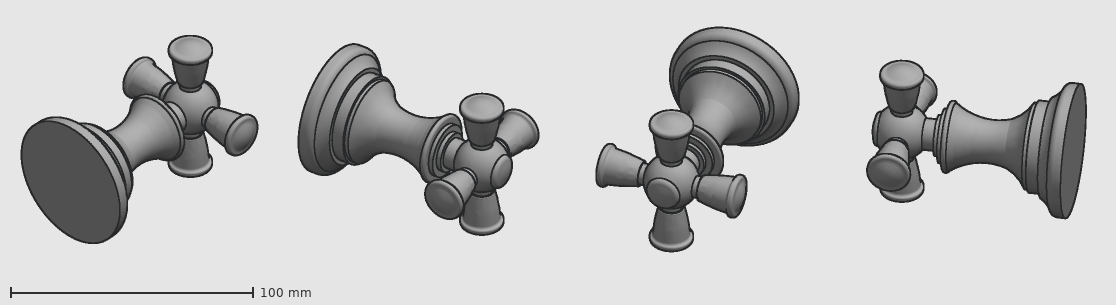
import cadquery as cq

OVERALL_LENGTH = 84.1
ARM_REACH = 32.1

HUB_HEIGHT = 72.0
HUB_RADIUS = 11.6
STEM_RADIUS = 6.65
CAP_RADIUS = 7.3
CAP_RIM_HEIGHT = 81.15
CAP_DOME_RADIUS = 5.4
CAP_DOME_HEIGHT = 83.2
CAP_SHOULDER_BULGE = 0.5

BASE_RADIUS = 28.0
BASE_RIM_HEIGHT = 3.0
OGEE_RADIUS = 25.6
OGEE_HEIGHT = 6.3
OGEE_CONVEX_BULGE = 0.75
OGEE_HOLLOW_BULGE = 0.4
BASE_TOP_RADIUS = 21.2
BASE_TOP_HEIGHT = 10.9
COLLAR_RADIUS = 19.25
COLLAR_TOP = 16.3
STEP_RADIUS = 18.2
STEP_TOP = 18.1
WAIST_START_RADIUS = 10.35
WAIST_START = 26.65
WAIST_END_RADIUS = 9.8
WAIST_END = 41.0
WAIST_BULGE = 1.0
FLARE_LOWER_BULGE = 0.9
FLARE_UPPER_BULGE = 0.25
FLARE_RADIUS = 12.6
FLARE_HEIGHT = 48.2
LIP_RADIUS = 14.3
LIP_HEIGHT = 50.8
LIP_BULGE = 0.9
LIP_TOP_RADIUS = 14.0
LIP_TOP = 53.15
LOWER_DISC_RADIUS = 11.4
LOWER_DISC_TOP = 55.2
UPPER_DISC_RADIUS = 8.6
UPPER_DISC_TOP = 57.3

NECK_RADIUS = 4.5
SLEEVE_START = 13.1
SLEEVE_START_RADIUS = 5.05
SLEEVE_SHOULDER = 13.9
SLEEVE_SHOULDER_RADIUS = 5.55
SLEEVE_SHOULDER_BULGE = 0.2
SLEEVE_END = 26.65
SLEEVE_END_RADIUS = 7.7
SLEEVE_BULGE = 0.295
COVE_END = 27.7
COVE_END_RADIUS = 8.6
COVE_BULGE = 0.2
BEAD_START = 28.5
BEAD_END = 29.1
BEAD_RADIUS = 9.1
BEAD_TOP = 30.3
BEAD_TOP_RADIUS = 7.9
BEAD_LOWER_BULGE = 0.2
BEAD_UPPER_BULGE = 0.3
DOME_START = 30.8
DOME_RADIUS = 5.55
DOME_COVE_BULGE = 0.2
ARM_COUNT = 4

Y_AXIS = ((0, 0), (0, 1))


def sphere_radius(rim_radius, rise):
    """Radius of the sphere whose cap has the given rim radius and rise."""
    return (rim_radius**2 + rise**2) / (2 * rise)


def make_pedestal():
    """Turned pedestal: moulded base, waisted column, lip, discs and stem."""
    profile = (
        cq.Workplane("XY")
        .lineTo(BASE_RADIUS, 0)
        .lineTo(BASE_RADIUS, BASE_RIM_HEIGHT)
        .sagittaArc((OGEE_RADIUS, OGEE_HEIGHT), -OGEE_CONVEX_BULGE)
        .sagittaArc((BASE_TOP_RADIUS, BASE_TOP_HEIGHT), OGEE_HOLLOW_BULGE)
        .lineTo(COLLAR_RADIUS, BASE_TOP_HEIGHT)
        .lineTo(COLLAR_RADIUS, COLLAR_TOP)
        .lineTo(STEP_RADIUS, COLLAR_TOP)
        .lineTo(STEP_RADIUS, STEP_TOP)
        .sagittaArc((WAIST_START_RADIUS, WAIST_START), FLARE_LOWER_BULGE)
        .sagittaArc((WAIST_END_RADIUS, WAIST_END), WAIST_BULGE)
        .sagittaArc((FLARE_RADIUS, FLARE_HEIGHT), FLARE_UPPER_BULGE)
        .lineTo(LIP_RADIUS, LIP_HEIGHT)
        .sagittaArc((LIP_TOP_RADIUS, LIP_TOP), -LIP_BULGE)
        .lineTo(LOWER_DISC_RADIUS, LIP_TOP)
        .lineTo(LOWER_DISC_RADIUS, LOWER_DISC_TOP)
        .lineTo(UPPER_DISC_RADIUS, LOWER_DISC_TOP)
        .lineTo(UPPER_DISC_RADIUS, UPPER_DISC_TOP)
        .lineTo(STEM_RADIUS, UPPER_DISC_TOP)
        .lineTo(STEM_RADIUS, HUB_HEIGHT)
        .lineTo(0, HUB_HEIGHT)
        .close()
    )
    return profile.revolve(360, *Y_AXIS)


def make_cap():
    """Domed button on the far end of the hub."""
    dome_sphere = sphere_radius(CAP_DOME_RADIUS, OVERALL_LENGTH - CAP_DOME_HEIGHT)
    profile = (
        cq.Workplane("XY")
        .moveTo(0, HUB_HEIGHT)
        .lineTo(CAP_RADIUS, HUB_HEIGHT)
        .lineTo(CAP_RADIUS, CAP_RIM_HEIGHT)
        .sagittaArc((CAP_DOME_RADIUS, CAP_DOME_HEIGHT), -CAP_SHOULDER_BULGE)
        .radiusArc((0, OVERALL_LENGTH), -dome_sphere)
        .close()
    )
    return profile.revolve(360, *Y_AXIS)


def make_arm():
    """Arm pointing along +Y from the origin: neck, tapered sleeve, bead and dome."""
    dome_sphere = sphere_radius(DOME_RADIUS, ARM_REACH - DOME_START)
    profile = (
        cq.Workplane("XY")
        .lineTo(NECK_RADIUS, 0)
        .lineTo(NECK_RADIUS, SLEEVE_START)
        .lineTo(SLEEVE_START_RADIUS, SLEEVE_START)
        .sagittaArc((SLEEVE_SHOULDER_RADIUS, SLEEVE_SHOULDER), -SLEEVE_SHOULDER_BULGE)
        .sagittaArc((SLEEVE_END_RADIUS, SLEEVE_END), -SLEEVE_BULGE)
        .sagittaArc((COVE_END_RADIUS, COVE_END), COVE_BULGE)
        .sagittaArc((BEAD_RADIUS, BEAD_START), -BEAD_LOWER_BULGE)
        .lineTo(BEAD_RADIUS, BEAD_END)
        .sagittaArc((BEAD_TOP_RADIUS, BEAD_TOP), -BEAD_UPPER_BULGE)
        .sagittaArc((DOME_RADIUS, DOME_START), DOME_COVE_BULGE)
        .radiusArc((0, ARM_REACH), -dome_sphere)
        .close()
    )
    return profile.revolve(360, *Y_AXIS)


hub_centre = (0, HUB_HEIGHT, 0)
hub = cq.Workplane("XY").sphere(HUB_RADIUS).translate(hub_centre)

result = make_pedestal().union(hub).union(make_cap())

upright_arm = make_arm().rotate((0, 0, 0), (1, 0, 0), 90)
for index in range(ARM_COUNT):
    turn = index * 360 / ARM_COUNT
    arm = upright_arm.rotate((0, 0, 0), (0, 1, 0), turn)
    result = result.union(arm.translate(hub_centre))